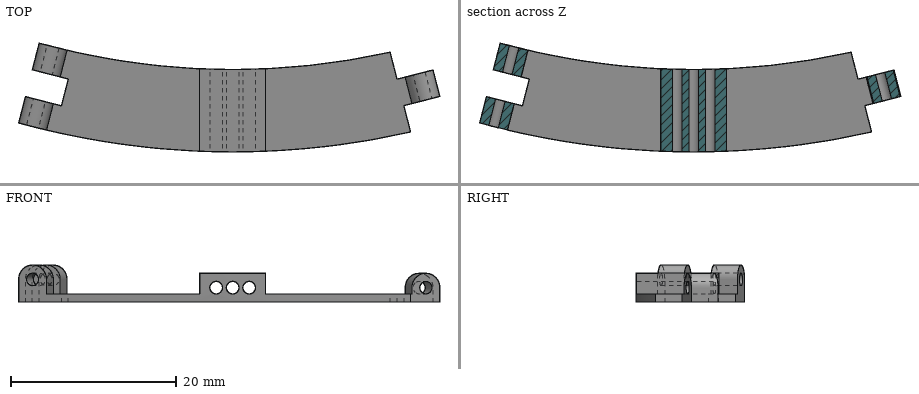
import cadquery as cq
import math

outer_radius = 97.5
band_width = 10.0
inner_radius = outer_radius - band_width
plate_thickness = 1.0

pin_angle = 14.4
pin_diameter = 1.5
knuckle_radius = 1.75
left_pin_height = 2.75
right_pin_height = 1.75
hinge_clearance = 1.0
plate_setback = knuckle_radius + hinge_clearance

knuckle_length = band_width / 3
first_knuckle_end = knuckle_length
last_knuckle_start = band_width - knuckle_length

block_length = 8.0
block_height = 3.5
block_hole_diameter = 1.5
block_hole_count = 3
block_hole_pitch = 2.0
block_hole_height = 1.75

overrun = 1.0


def ring(height):
    return (
        cq.Workplane("XY")
        .center(0, outer_radius)
        .circle(outer_radius)
        .circle(inner_radius)
        .extrude(height)
    )


def to_hinge(body, side):
    """Swing a body around the ring centre from the origin to the left (-1) or right (+1) pin."""
    return body.rotate((0, outer_radius, 0), (0, outer_radius, 1), side * pin_angle)


def plate():
    """Ring sector whose ends are parallel to the pins and set back from them."""
    angle = math.radians(pin_angle)
    axis_offset = plate_setback / math.cos(angle)
    apex_y = outer_radius - axis_offset / math.tan(angle)
    base_y = -overrun
    base_half_width = (apex_y - base_y) * math.tan(angle)
    wedge = (
        cq.Workplane("XY")
        .moveTo(0, apex_y)
        .lineTo(-base_half_width, base_y)
        .lineTo(base_half_width, base_y)
        .close()
        .extrude(plate_thickness)
    )
    return ring(plate_thickness).intersect(wedge)


def knuckle(side, pin_height, start, end):
    """Round-topped hinge knuckle on a flat tongue that reaches back to the plate."""
    length = end - start
    profile_plane = cq.Workplane("XZ", origin=(0, end, 0))
    body = (
        profile_plane
        .moveTo(-knuckle_radius, 0)
        .lineTo(knuckle_radius, 0)
        .lineTo(knuckle_radius, pin_height)
        .threePointArc((0, pin_height + knuckle_radius), (-knuckle_radius, pin_height))
        .close()
        .extrude(length)
    )
    tongue = (
        cq.Workplane("XY", origin=(-side * plate_setback, (start + end) / 2, 0))
        .rect(2 * hinge_clearance, length)
        .extrude(plate_thickness)
    )
    pin_hole = profile_plane.center(0, pin_height).circle(pin_diameter / 2).extrude(length)
    return to_hinge(body.union(tongue).cut(pin_hole), side)


def left_knuckles():
    """Two knuckles trimmed by the inner and outer arcs of the band."""
    outer = knuckle(-1, left_pin_height, -overrun, first_knuckle_end)
    inner = knuckle(-1, left_pin_height, last_knuckle_start, band_width + overrun)
    return outer.union(inner).intersect(ring(left_pin_height + knuckle_radius))


def right_knuckle():
    return knuckle(1, right_pin_height, first_knuckle_end, last_knuckle_start)


def block():
    """Raised block whose two long ends follow the arcs of the band."""
    bar = (
        cq.Workplane("XY", origin=(0, band_width / 2, 0))
        .rect(block_length, band_width + 2 * overrun)
        .extrude(block_height)
    )
    return bar.intersect(ring(block_height))


def block_holes():
    return (
        cq.Workplane("XZ", origin=(0, band_width + overrun, block_hole_height))
        .rarray(block_hole_pitch, 1, block_hole_count, 1)
        .circle(block_hole_diameter / 2)
        .extrude(band_width + 2 * overrun)
    )


result = plate().union(left_knuckles()).union(right_knuckle()).union(block()).cut(block_holes())